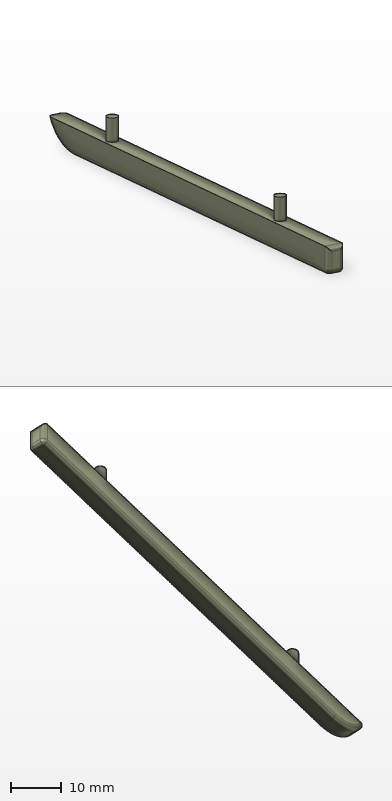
import cadquery as cq
import math

bar_length = 100.0
bar_width = 4.0
bar_height = 5.8
nose_radius = 10.0
edge_radius = 1.0

pin_diameter = 2.5
pin_length = 5.0
pin_spacing = 60.0
first_pin_x = 20.0


def make_bar():
    """Bar with a curved nose at -X, rounded on every edge except the long top ones."""
    center_z = nose_radius
    nose_length = math.sqrt(nose_radius**2 - (center_z - bar_height) ** 2)
    sweep = math.asin(nose_length / nose_radius)
    arc_middle = (
        nose_length - nose_radius * math.sin(sweep / 2),
        center_z - nose_radius * math.cos(sweep / 2),
    )
    bar = (
        cq.Workplane("XZ")
        .moveTo(0, bar_height)
        .threePointArc(arc_middle, (nose_length, 0))
        .lineTo(bar_length, 0)
        .lineTo(bar_length, bar_height)
        .close()
        .extrude(bar_width / 2, both=True)
    )
    side_edges = bar.faces("<Y or >Y").edges("not >Z")
    end_edges = bar.faces(">X").edges()
    return bar.newObject(side_edges.vals()).add(end_edges).fillet(edge_radius)


def add_pins(bar):
    """Two plain pins standing on the top face."""
    positions = [(first_pin_x, 0), (first_pin_x + pin_spacing, 0)]
    pins = (
        cq.Workplane("XY")
        .workplane(offset=bar_height)
        .pushPoints(positions)
        .circle(pin_diameter / 2)
        .extrude(pin_length)
    )
    return bar.union(pins)


result = add_pins(make_bar())